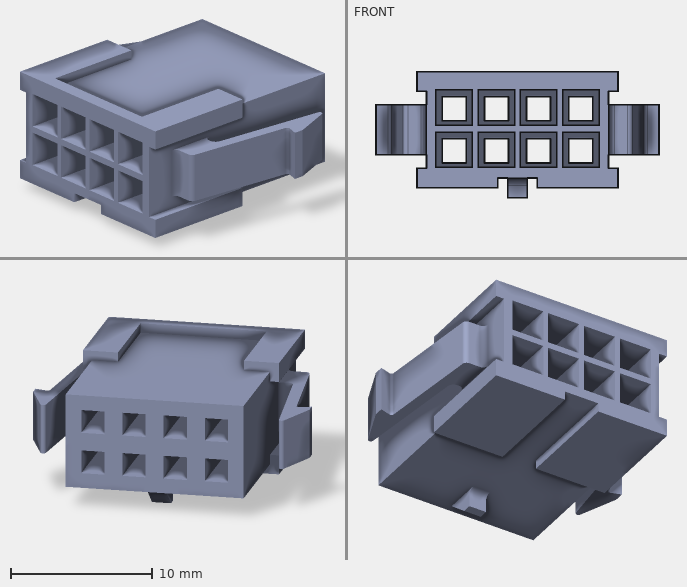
import cadquery as cq
import math

BODY_WIDTH = 12.93
BODY_LENGTH = 16.89
BODY_HEIGHT = 6.85

FLANGE_WIDTH = 14.25
FLANGE_LENGTH = 8.37
FLANGE_STEP = 0.7
FLANGE_BAR = 1.4
WINDOW_WIDTH = 9.15
WINDOW_FRONT_WALL = 1.05
KEYWAY_WIDTH = 2.8

COLUMNS = 4
ROWS = 2
PITCH = 3.0
CAVITY_WIDTH = 2.6
CAVITY_HEIGHT = 2.5
CAVITY_RISE = 0.08
CAVITY_DEPTH = FLANGE_LENGTH
BORE_SIZE = 1.69

LATCH_SPAN = 20.08
LATCH_HEIGHT = 3.57
LATCH_LEAN = math.radians(6)
LATCH_FOOT_X = 8.1
LATCH_FOOT_FRONT = 2.6
LATCH_FOOT_BACK = 5.36
LATCH_ARM_WIDTH = 0.88
BARB_NOTCH_Y = 11.06
BARB_HEEL_Y = 10.75
BARB_SHOULDER_Y = 11.49
LATCH_TIP_X = 8.55
LATCH_TIP_Y = 15.18
LATCH_TIP_RADIUS = 0.2
BARB_NOTCH_RADIUS = 0.2
LATCH_FOOT_RADIUS = 0.36
LATCH_ROOT_RADIUS = 0.4
ARM_ROOT_RADIUS = 0.5

HOOK_WIDTH = 1.39
HOOK_DROP = 1.4
HOOK_FRONT = 13.95
HOOK_FLAT_END = 14.65
HOOK_BACK = 16.35
HOOK_ROOT_RADIUS = 0.5

EMBED = 0.2

BODY_BOTTOM = -BODY_HEIGHT / 2
FLANGE_TOP = BODY_HEIGHT / 2 + FLANGE_STEP
WALL_X = BODY_WIDTH / 2


def block(width, y_start, y_end, z_start, z_end, x_centre=0):
    """Box centred on x_centre and spanning the given Y and Z limits."""
    size = (width, y_end - y_start, z_end - z_start)
    box = cq.Workplane("XY").box(*size, centered=(True, False, False))
    return box.translate((x_centre, y_start, z_start))


def round_upright_edge(solid, x, y, radius):
    """Fillet the latch edge that runs along Z through (x, y)."""
    return solid.edges(cq.selectors.NearestToPointSelector((x, y, 0))).fillet(radius)


def make_flange():
    top_bar = block(FLANGE_WIDTH, 0, FLANGE_LENGTH, FLANGE_TOP - FLANGE_BAR, FLANGE_TOP)
    window = block(WINDOW_WIDTH, WINDOW_FRONT_WALL, FLANGE_LENGTH, BODY_HEIGHT / 2, FLANGE_TOP)
    bottom_bar = block(FLANGE_WIDTH, 0, FLANGE_LENGTH, -FLANGE_TOP, FLANGE_BAR - FLANGE_TOP)
    keyway = block(KEYWAY_WIDTH, 0, FLANGE_LENGTH, -FLANGE_TOP, BODY_BOTTOM)
    return top_bar.cut(window), bottom_bar.cut(keyway)


def arm_outer_x(y):
    """X of the leaning outer face of the latch arm at a given Y."""
    return LATCH_FOOT_X + (y - LATCH_FOOT_FRONT) * math.tan(LATCH_LEAN)


def make_latch():
    """Latch on the +X side: foot, leaning arm and barbed tip."""
    notch = (arm_outer_x(BARB_NOTCH_Y), BARB_NOTCH_Y)
    tip = (LATCH_TIP_X, LATCH_TIP_Y)
    root = (arm_outer_x(LATCH_FOOT_BACK) - LATCH_ARM_WIDTH, LATCH_FOOT_BACK)
    foot = (LATCH_FOOT_X, LATCH_FOOT_FRONT)
    outline = [
        (WALL_X - EMBED, LATCH_FOOT_FRONT),
        foot,
        notch,
        (LATCH_SPAN / 2, BARB_HEEL_Y),
        (LATCH_SPAN / 2, BARB_SHOULDER_Y),
        tip,
        root,
        (WALL_X - EMBED, LATCH_FOOT_BACK),
    ]
    latch = cq.Workplane("XY").polyline(outline).close().extrude(LATCH_HEIGHT / 2, both=True)
    latch = round_upright_edge(latch, *foot, LATCH_FOOT_RADIUS)
    latch = round_upright_edge(latch, *notch, BARB_NOTCH_RADIUS)
    latch = round_upright_edge(latch, *tip, LATCH_TIP_RADIUS)
    return round_upright_edge(latch, *root, ARM_ROOT_RADIUS)


def make_hook():
    hook_bottom = BODY_BOTTOM - HOOK_DROP
    return (
        cq.Workplane("YZ")
        .moveTo(HOOK_FRONT - HOOK_ROOT_RADIUS, BODY_BOTTOM)
        .radiusArc((HOOK_FRONT, BODY_BOTTOM - HOOK_ROOT_RADIUS), HOOK_ROOT_RADIUS)
        .lineTo(HOOK_FRONT, hook_bottom)
        .lineTo(HOOK_FLAT_END, hook_bottom)
        .lineTo(HOOK_BACK, BODY_BOTTOM)
        .lineTo(HOOK_BACK, BODY_BOTTOM + EMBED)
        .lineTo(HOOK_FRONT - HOOK_ROOT_RADIUS, BODY_BOTTOM + EMBED)
        .close()
        .extrude(HOOK_WIDTH / 2, both=True)
    )


def cut_cavities(solid):
    """Wide terminal cavities from the front, each continued by a smaller bore to the back."""
    for column in range(COLUMNS):
        x = (column - (COLUMNS - 1) / 2) * PITCH
        for row in range(ROWS):
            z = (row - (ROWS - 1) / 2) * PITCH
            cavity_bottom = z + CAVITY_RISE - CAVITY_HEIGHT / 2
            cavity_top = cavity_bottom + CAVITY_HEIGHT
            solid = solid.cut(block(CAVITY_WIDTH, 0, CAVITY_DEPTH, cavity_bottom, cavity_top, x))
            solid = solid.cut(block(BORE_SIZE, 0, BODY_LENGTH, z - BORE_SIZE / 2, z + BORE_SIZE / 2, x))
    return solid


housing = block(BODY_WIDTH, 0, BODY_LENGTH, BODY_BOTTOM, BODY_HEIGHT / 2)
for bar in make_flange():
    housing = housing.union(bar)

right_latch = make_latch()
housing = housing.union(right_latch).union(right_latch.mirror("YZ"))
for side in (-1, 1):
    for foot_y in (LATCH_FOOT_FRONT, LATCH_FOOT_BACK):
        housing = round_upright_edge(housing, side * WALL_X, foot_y, LATCH_ROOT_RADIUS)

housing = housing.union(make_hook())
result = cut_cavities(housing)